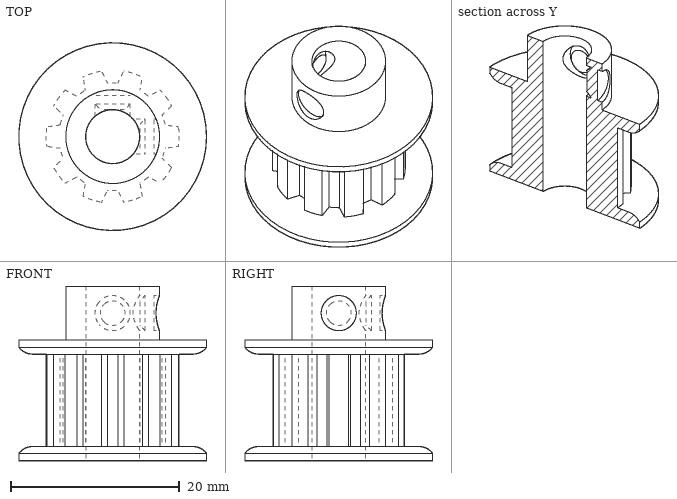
import cadquery as cq
import math

flange_radius = 11.12
flange_rim_height = 0.9
flange_crown_height = 0.82
flange_face_radius = 9.47
flange_thickness = flange_rim_height + flange_crown_height
body_height = 14.32
hub_radius = 11.1 / 2
total_height = 20.63
bore_radius = 6.35 / 2

tooth_count = 10
tooth_tip_radius = 7.87
groove_floor_distance = 6.35
groove_floor_half_width = 0.62
groove_mouth_half_width = 1.31

screw_hole_radius = 4.15 / 2
screw_hole_height = (body_height + total_height) / 2
screw_inner_face = 3.22
screw_chamfer = 0.62
screw_outer_face = 4.9


def make_flange():
    """Disc on Z = 0 whose upper edge is a crown arc tangent to the flat top face."""
    crown_width = flange_radius - flange_face_radius
    arc_radius = (crown_width**2 + flange_crown_height**2) / (2 * flange_crown_height)
    half_angle = math.asin(crown_width / arc_radius) / 2
    arc_middle = (
        flange_face_radius + arc_radius * math.sin(half_angle),
        flange_thickness - arc_radius * (1 - math.cos(half_angle)),
    )
    return (
        cq.Workplane("XZ")
        .lineTo(flange_radius, 0)
        .lineTo(flange_radius, flange_rim_height)
        .threePointArc(arc_middle, (flange_face_radius, flange_thickness))
        .lineTo(0, flange_thickness)
        .close()
        .revolve(360, (0, 0), (0, 1))
    )


def make_toothed_drum():
    """Cylinder with tapered belt grooves; one groove faces -Y."""
    drum = cq.Workplane("XY").circle(tooth_tip_radius).extrude(body_height)
    mouth_distance = math.sqrt(tooth_tip_radius**2 - groove_mouth_half_width**2)
    flank_slope = (groove_mouth_half_width - groove_floor_half_width) / (
        mouth_distance - groove_floor_distance
    )
    cutter_distance = tooth_tip_radius + 0.22
    cutter_half_width = groove_floor_half_width + flank_slope * (cutter_distance - groove_floor_distance)
    groove = (
        cq.Workplane("XY")
        .polyline([
            (-groove_floor_half_width, -groove_floor_distance),
            (groove_floor_half_width, -groove_floor_distance),
            (cutter_half_width, -cutter_distance),
            (-cutter_half_width, -cutter_distance),
        ])
        .close()
        .extrude(body_height)
    )
    for index in range(tooth_count):
        drum = drum.cut(groove.rotate((0, 0, 0), (0, 0, 1), index * 360 / tooth_count))
    return drum


def radial_cylinder(start, end):
    """Cylinder of the set screw diameter along +X between two distances from the axis."""
    return (
        cq.Workplane("YZ", origin=(start, 0, 0))
        .center(0, screw_hole_height)
        .circle(screw_hole_radius)
        .extrude(end - start)
    )


def make_set_screw():
    """Plain set screw along +X with a chamfered inner end."""
    return radial_cylinder(screw_inner_face, screw_outer_face).faces("<X").chamfer(screw_chamfer)


lower_flange = make_flange()
upper_flange = make_flange().mirror("XY").translate((0, 0, body_height))
hub = cq.Workplane("XY").workplane(offset=body_height).circle(hub_radius).extrude(total_height - body_height)
bore = cq.Workplane("XY").circle(bore_radius).extrude(total_height)

result = make_toothed_drum().union(lower_flange).union(upper_flange).union(hub).cut(bore)

screw_hole = radial_cylinder(0, hub_radius + 0.22)
set_screw = make_set_screw()
for angle in (0, 90):
    result = result.cut(screw_hole.rotate((0, 0, 0), (0, 0, 1), angle))
    result = result.union(set_screw.rotate((0, 0, 0), (0, 0, 1), angle))